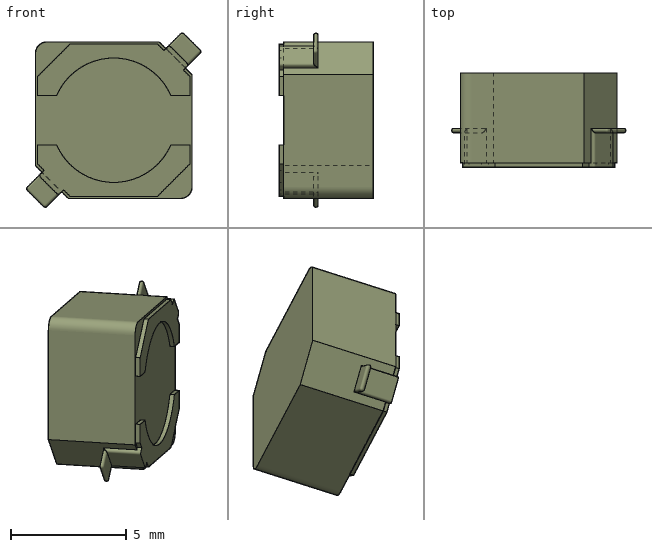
import cadquery as cq
import math

body_width = 6.8
body_depth = 3.9
corner_radius = 0.5
flat_distance = 3.8

pad_thickness = 0.2
pad_width = 6.6
pad_corner_leg = 1.4
pad_gap = 2.14
window_radius = 2.7

strip_width = 1.2
strip_thickness = 0.2
edge_radius = strip_thickness / 2
bend_height = 1.7
tip_distance = 4.805

body_front = pad_thickness
bend_front = bend_height - strip_thickness

strip_center = flat_distance + strip_thickness / 2
strip_outside = flat_distance + strip_thickness

terminal_angles = (-45, 135)


def plate(width, front, depth):
    """Square plate centred on the Y axis, from `front` back along +Y."""
    return cq.Workplane("XY").box(width, depth, width, centered=(True, False, True)).translate((0, front, 0))


def upright_edge(x, z):
    """Selector for the body edge that runs along Y at (x, z)."""
    return cq.selectors.NearestToPointSelector((x, body_front + body_depth / 2, z))


def make_body():
    """Block with two rounded corners and, across the other diagonal, two flats for the terminals."""
    half = body_width / 2
    flat_leg = body_width - flat_distance * math.sqrt(2)
    block = plate(body_width, body_front, body_depth)
    for side in (-1, 1):
        block = block.edges(upright_edge(side * half, -side * half)).fillet(corner_radius)
        block = block.edges(upright_edge(side * half, side * half)).chamfer(flat_leg)
    return block


def make_pads():
    """Two mirrored pads left of a chamfered plate by a straight gap and a round window."""
    pads = plate(pad_width, 0, pad_thickness).edges("|Y").chamfer(pad_corner_leg)
    gap = cq.Workplane("XY").box(pad_width, pad_thickness, pad_gap, centered=(True, False, True))
    window = cq.Workplane("XZ").circle(window_radius).extrude(-pad_thickness)
    return pads.cut(gap).cut(window)


def make_round_edged_leg():
    """Outward leg along +X with fully rounded sides and tip, and ball corners at the tip."""
    core_length = tip_distance - edge_radius - flat_distance
    core_half_width = strip_width / 2 - edge_radius
    middle = bend_front + edge_radius
    leg = (
        cq.Workplane("XY")
        .box(core_length, strip_thickness, 2 * core_half_width, centered=(False, True, True))
        .translate((flat_distance, middle, 0))
    )
    along_x = cq.Vector(1, 0, 0)
    along_z = cq.Vector(0, 0, 1)
    tip_start = cq.Vector(tip_distance - edge_radius, middle, -core_half_width)
    leg = leg.union(cq.Solid.makeCylinder(edge_radius, 2 * core_half_width, tip_start, along_z))
    for side in (-1, 1):
        side_start = cq.Vector(flat_distance, middle, side * core_half_width)
        leg = leg.union(cq.Solid.makeCylinder(edge_radius, core_length, side_start, along_x))
        ball = cq.Workplane("XY").sphere(edge_radius)
        leg = leg.union(ball.translate((tip_distance - edge_radius, middle, side * core_half_width)))
    return leg


def make_terminal():
    """Terminal pointing along +X: upright leg, outward leg and the neck joining it to its pad."""
    upright_stock = (
        cq.Workplane("XY")
        .box(strip_thickness, bend_height, strip_width, centered=(True, False, True))
        .edges("|Y and >X")
        .fillet(edge_radius)
        .translate((strip_center, 0, 0))
    )
    outward_stock = make_round_edged_leg()
    outer_bend = (flat_distance, bend_height)
    inner_bend = (strip_outside, bend_front)
    upright_side = (
        cq.Workplane("XY")
        .polyline([outer_bend, inner_bend, (strip_outside, 0), (flat_distance, 0)])
        .close()
        .extrude(strip_width / 2, both=True)
    )
    outward_side = (
        cq.Workplane("XY")
        .polyline([outer_bend, inner_bend, (tip_distance, bend_front), (tip_distance, bend_height)])
        .close()
        .extrude(strip_width / 2, both=True)
    )
    legs = upright_stock.intersect(upright_side).union(outward_stock.intersect(outward_side))

    neck_start = window_radius + (flat_distance - window_radius) / 2
    neck = (
        cq.Workplane("XY")
        .box(strip_center - neck_start, pad_thickness, strip_width, centered=(False, False, True))
        .translate((neck_start, 0, 0))
    )
    return legs.union(neck)


part = make_body().union(make_pads())
terminal = make_terminal()
for angle in terminal_angles:
    part = part.union(terminal.rotate((0, 0, 0), (0, 1, 0), angle))
result = cq.Workplane(part.solids().val())